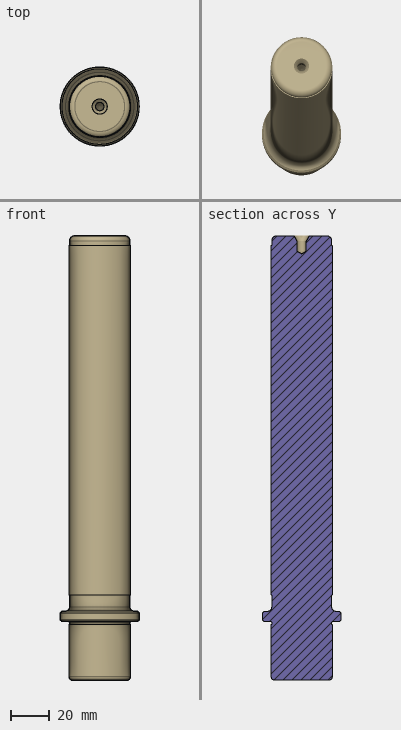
import cadquery as cq
import math

TOTAL_LENGTH = 230.0
SHAFT_DIAMETER = 32.0
RELIEF_DIAMETER = 31.3
COLLAR_DIAMETER = 41.0

UNDERCUT_BOTTOM = 29.0
COLLAR_BOTTOM = 30.4
COLLAR_TOP = 35.9
SHAFT_BOTTOM = 44.2

BOTTOM_RADIUS = 2.0
COLLAR_CHAMFER = 1.0
COVE_RADIUS = 2.0
UNDERCUT_COVE_RADIUS = 0.5
TIP_LENGTH = 5.0
TIP_RADIUS = 2.8

CENTRE_MOUTH_DIAMETER = 7.8
CENTRE_BORE_DIAMETER = 4.4
CENTRE_BORE_DEPTH = 8.0
COUNTERSINK_ANGLE = 60.0
DRILL_POINT_ANGLE = 120.0


def cone_depth(wide_radius, narrow_radius, included_angle):
    """Axial length of a cone between two radii."""
    return (wide_radius - narrow_radius) / math.tan(math.radians(included_angle / 2))


def quarter_round(start, end, radius, center):
    """Middle and end points of a quarter-circle arc about its center."""
    dx = start[0] + end[0] - 2 * center[0]
    dz = start[1] + end[1] - 2 * center[1]
    scale = radius / math.hypot(dx, dz)
    return (center[0] + dx * scale, center[1] + dz * scale), end


def make_pillar():
    """Revolve the stepped outer profile about Z."""
    shaft_r = SHAFT_DIAMETER / 2
    relief_r = RELIEF_DIAMETER / 2
    collar_r = COLLAR_DIAMETER / 2

    bottom_start = (shaft_r - BOTTOM_RADIUS, 0)
    bottom_end = (shaft_r, BOTTOM_RADIUS)
    bottom_center = (bottom_start[0], bottom_end[1])

    undercut_start = (relief_r, COLLAR_BOTTOM - UNDERCUT_COVE_RADIUS)
    undercut_end = (relief_r + UNDERCUT_COVE_RADIUS, COLLAR_BOTTOM)
    undercut_center = (undercut_end[0], undercut_start[1])

    cove_start = (relief_r + COVE_RADIUS, COLLAR_TOP)
    cove_end = (relief_r, COLLAR_TOP + COVE_RADIUS)
    cove_center = (cove_start[0], cove_end[1])

    tip_start = (relief_r, TOTAL_LENGTH - TIP_RADIUS)
    tip_end = (relief_r - TIP_RADIUS, TOTAL_LENGTH)
    tip_center = (tip_end[0], tip_start[1])

    profile = (
        cq.Workplane("XZ")
        .lineTo(*bottom_start)
        .threePointArc(*quarter_round(bottom_start, bottom_end, BOTTOM_RADIUS, bottom_center))
        .lineTo(shaft_r, UNDERCUT_BOTTOM)
        .lineTo(relief_r, UNDERCUT_BOTTOM)
        .lineTo(*undercut_start)
        .threePointArc(
            *quarter_round(undercut_start, undercut_end, UNDERCUT_COVE_RADIUS, undercut_center)
        )
        .lineTo(collar_r - COLLAR_CHAMFER, COLLAR_BOTTOM)
        .lineTo(collar_r, COLLAR_BOTTOM + COLLAR_CHAMFER)
        .lineTo(collar_r, COLLAR_TOP - COLLAR_CHAMFER)
        .lineTo(collar_r - COLLAR_CHAMFER, COLLAR_TOP)
        .lineTo(*cove_start)
        .threePointArc(*quarter_round(cove_start, cove_end, COVE_RADIUS, cove_center))
        .lineTo(relief_r, SHAFT_BOTTOM)
        .lineTo(shaft_r, SHAFT_BOTTOM)
        .lineTo(shaft_r, TOTAL_LENGTH - TIP_LENGTH)
        .lineTo(relief_r, TOTAL_LENGTH - TIP_LENGTH)
        .lineTo(*tip_start)
        .threePointArc(*quarter_round(tip_start, tip_end, TIP_RADIUS, tip_center))
        .lineTo(0, TOTAL_LENGTH)
        .close()
    )
    return profile.revolve(360, (0, 0), (0, 1))


def make_centre_hole():
    """Countersunk blind bore with a conical drill point."""
    mouth_r = CENTRE_MOUTH_DIAMETER / 2
    bore_r = CENTRE_BORE_DIAMETER / 2
    bore_bottom = TOTAL_LENGTH - CENTRE_BORE_DEPTH
    profile = (
        cq.Workplane("XZ")
        .moveTo(0, TOTAL_LENGTH)
        .lineTo(mouth_r, TOTAL_LENGTH)
        .lineTo(bore_r, TOTAL_LENGTH - cone_depth(mouth_r, bore_r, COUNTERSINK_ANGLE))
        .lineTo(bore_r, bore_bottom)
        .lineTo(0, bore_bottom - cone_depth(bore_r, 0, DRILL_POINT_ANGLE))
        .close()
    )
    return profile.revolve(360, (0, 0), (0, 1))


result = make_pillar().cut(make_centre_hole())